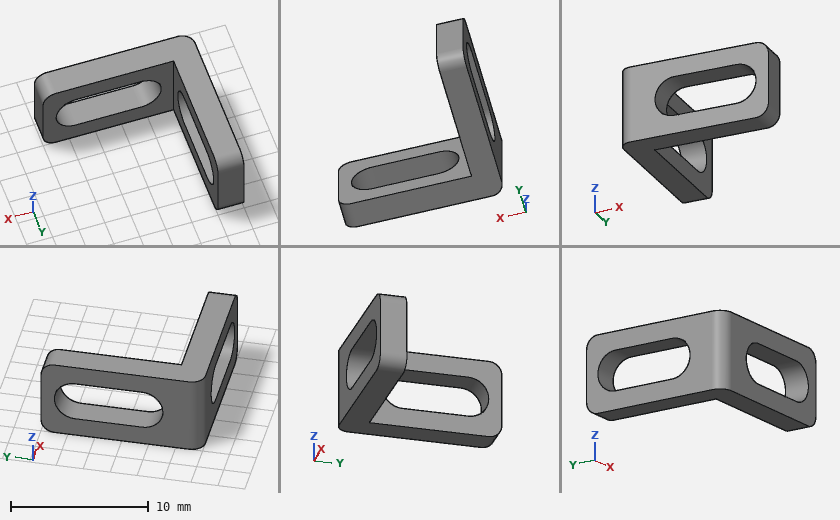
import cadquery as cq

leg_length = 12.0
height = 6.0
thickness = 2.0
corner_radius = 1.0
slot_length = 8.05
slot_width = 3.1
slot_end_margin = 1.0

slot_center = leg_length - slot_end_margin - slot_length / 2


def make_leg():
    """Leg along X with a rounded free end and a lengthwise through slot."""
    plate = cq.Workplane("XY").box(leg_length, thickness, height, centered=False)
    plate = plate.edges("|Y and >X").fillet(corner_radius)
    slot = (
        cq.Workplane("XZ")
        .center(slot_center, height / 2)
        .slot2D(slot_length, slot_width)
        .extrude(-thickness)
    )
    return plate.cut(slot)


leg_x = make_leg()
leg_y = leg_x.mirror("YZ").rotate((0, 0, 0), (0, 0, 1), -90)
bracket = leg_x.union(leg_y)

result = bracket.edges("|Z and <X and <Y").fillet(corner_radius)